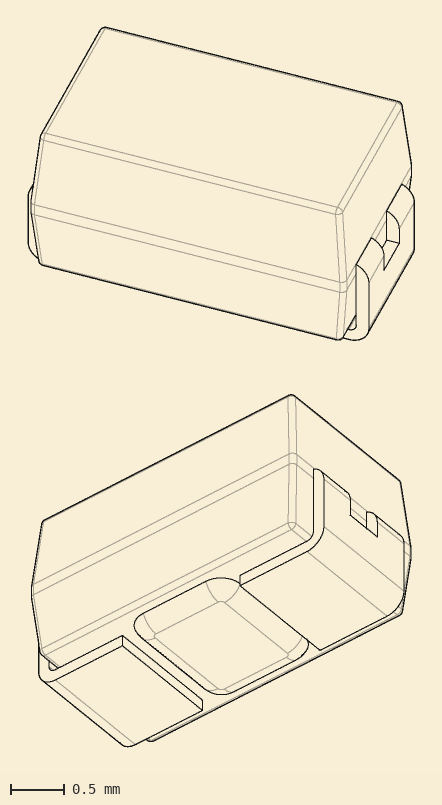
import cadquery as cq
import math

LENGTH = 3.4
HEIGHT = 1.8
HOUSING_WIDTH = 1.8

LEAD_THICKNESS = 0.125
LEAD_WIDTH = 1.2
LEAD_BEND_RADIUS = 0.2
LEAD_INNER_RADIUS = LEAD_BEND_RADIUS - LEAD_THICKNESS
FOOT_LENGTH = 1.0
NOTCH_WIDTH = 0.4
NOTCH_FLOOR_Z = 0.6

HOUSING_LENGTH = LENGTH - 2 * LEAD_THICKNESS
HOUSING_BOTTOM_Z = 0.16
BAND_BOTTOM_Z = 0.855
BAND_TOP_Z = BAND_BOTTOM_Z + LEAD_THICKNESS
DRAFT_ANGLE = 5.0
EDGE_RADIUS = 0.05

PAD_LENGTH = 1.227
PAD_WIDTH = 1.425
PAD_BOTTOM_Z = 0.03
PAD_CORNER_RADIUS = 0.24
PAD_EDGE_RADIUS = 0.2
PAD_TOP_Z = PAD_BOTTOM_Z + 1.5 * PAD_EDGE_RADIUS


def tapered_half(start_z, end_z):
    """Half of the housing, narrowing from the parting band to its end face."""
    inset = abs(end_z - start_z) * math.tan(math.radians(DRAFT_ANGLE))
    return (
        cq.Workplane("XY", origin=(0, 0, start_z))
        .rect(HOUSING_LENGTH, HOUSING_WIDTH)
        .workplane(offset=end_z - start_z)
        .rect(HOUSING_LENGTH - 2 * inset, HOUSING_WIDTH - 2 * inset)
        .loft(ruled=True)
    )


def make_pad():
    """Pad with rounded corners and a rounded lower rim."""
    return (
        cq.Workplane("XY", origin=(0, 0, PAD_BOTTOM_Z))
        .rect(PAD_LENGTH, PAD_WIDTH)
        .extrude(PAD_TOP_Z - PAD_BOTTOM_Z)
        .edges("|Z")
        .fillet(PAD_CORNER_RADIUS)
        .faces("<Z")
        .edges()
        .fillet(PAD_EDGE_RADIUS)
    )


def make_housing():
    band = (
        cq.Workplane("XY", origin=(0, 0, BAND_BOTTOM_Z))
        .rect(HOUSING_LENGTH, HOUSING_WIDTH)
        .extrude(BAND_TOP_Z - BAND_BOTTOM_Z)
    )
    shell = (
        band.union(tapered_half(BAND_TOP_Z, HEIGHT))
        .union(tapered_half(BAND_BOTTOM_Z, HOUSING_BOTTOM_Z))
    )
    rounded = shell.edges("(not #Z) or >Z or <Z").fillet(EDGE_RADIUS)
    return rounded.union(make_pad())


def make_left_lead():
    """Bent strip: foot, upright and a rounded top that meets the parting band."""
    outer_x = -LENGTH / 2
    inner_x = outer_x + LEAD_THICKNESS
    foot_end_x = outer_x + FOOT_LENGTH
    bend_x = outer_x + LEAD_BEND_RADIUS
    diagonal = math.sqrt(0.5)

    top_bend_z = BAND_TOP_Z - LEAD_BEND_RADIUS
    contact_angle = math.acos((bend_x - inner_x) / LEAD_BEND_RADIUS)

    def top_bend_point(angle):
        return (
            bend_x - LEAD_BEND_RADIUS * math.cos(angle),
            top_bend_z + LEAD_BEND_RADIUS * math.sin(angle),
        )

    def lower_bend_point(radius):
        return (bend_x - radius * diagonal, LEAD_BEND_RADIUS - radius * diagonal)

    strip = (
        cq.Workplane("XZ")
        .moveTo(foot_end_x, 0)
        .lineTo(bend_x, 0)
        .threePointArc(lower_bend_point(LEAD_BEND_RADIUS), (outer_x, LEAD_BEND_RADIUS))
        .lineTo(outer_x, top_bend_z)
        .threePointArc(top_bend_point(contact_angle / 2), top_bend_point(contact_angle))
        .lineTo(inner_x, LEAD_BEND_RADIUS)
        .threePointArc(lower_bend_point(LEAD_INNER_RADIUS), (bend_x, LEAD_THICKNESS))
        .lineTo(foot_end_x, LEAD_THICKNESS)
        .close()
        .extrude(LEAD_WIDTH / 2, both=True)
    )
    notch = (
        cq.Workplane("XY", origin=(outer_x, 0, NOTCH_FLOOR_Z))
        .rect(4 * LEAD_THICKNESS, NOTCH_WIDTH)
        .extrude(HEIGHT)
    )
    return strip.cut(notch)


housing = make_housing()
leads = []
for turn in (0, 180):
    lead = make_left_lead().rotate((0, 0, 0), (0, 0, 1), turn)
    leads.append(lead.val())

result = cq.Compound.makeCompound([housing.val(), *leads])